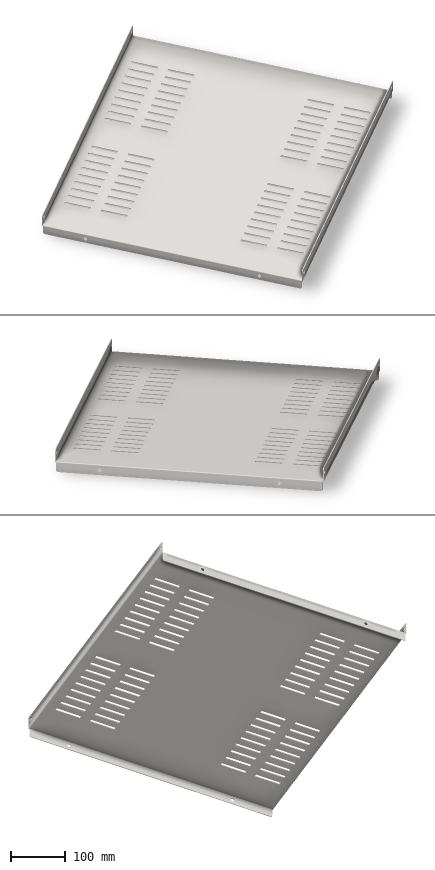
import cadquery as cq
WIDTH = 499.0
DEPTH = 544.0
SHEET = 1.5
BEND_INNER = 0.1
BEND_OUTER = BEND_INNER + SHEET
LIP_DROP = 20.0
WALL_RISE = 25.0
CORNER_RADIUS = 3.5

FLOOR_TOP = LIP_DROP
FLOOR_BOTTOM = FLOOR_TOP - SHEET
WALL_TOP = FLOOR_TOP + WALL_RISE

LIP_SETBACK = 2.0
LIP_LENGTH = WIDTH - 2 * LIP_SETBACK

LIP_HOLE_DIAMETER = 7.0
LIP_HOLE_SPACING = 333.0
LIP_HOLE_HEIGHT = 9.5

WALL_HOLE_DIAMETER = 6.5
WALL_SLOT_LENGTH = 9.0
WALL_HOLE_INSET = 9.0
WALL_HOLE_DROP = 10.0

VENT_LENGTH = 50.0
VENT_WIDTH = 5.0
VENT_ROWS = 9
VENT_PITCH = 20.125
VENT_COLUMNS_X = (133.5, 203.5)
VENT_GROUP_Y = 120.4


def both_sides(distance):
    """Mirrored pair of positions about the middle of the shelf."""
    return (-distance, distance)


def make_floor():
    """Flat floor between the bends."""
    size_x = WIDTH - 2 * BEND_OUTER
    size_y = DEPTH - 2 * BEND_OUTER
    floor = cq.Workplane("XY").box(size_x, size_y, SHEET, centered=(True, True, False))
    return floor.translate((0, 0, FLOOR_BOTTOM))


def make_bent_flange(height, length):
    """Flange along Y rising from Z = 0; its bend starts at X = 0 and curves toward +X."""
    flange = (
        cq.Workplane("XZ")
        .moveTo(0, 0)
        .radiusArc((BEND_OUTER, BEND_OUTER), -BEND_OUTER)
        .lineTo(BEND_OUTER, height)
        .lineTo(BEND_INNER, height)
        .lineTo(BEND_INNER, BEND_OUTER)
        .radiusArc((0, SHEET), BEND_INNER)
        .close()
        .extrude(length / 2, both=True)
    )
    return flange.edges("|X and >Z").fillet(CORNER_RADIUS)


def add_walls(body):
    """Upright walls on the X sides, with rounded upper corners."""
    flange = make_bent_flange(WALL_TOP - FLOOR_BOTTOM, DEPTH)
    wall = flange.translate((WIDTH / 2 - BEND_OUTER, 0, FLOOR_BOTTOM))
    return body.union(wall).union(wall.mirror("YZ"))


def add_lips(body):
    """Hanging lips on the Y sides, with rounded lower corners."""
    flange = make_bent_flange(LIP_DROP, LIP_LENGTH).mirror("XY").rotate((0, 0, 0), (0, 0, 1), 90)
    lip = flange.translate((0, DEPTH / 2 - BEND_OUTER, FLOOR_TOP))
    return body.union(lip).union(lip.mirror("XZ"))


def cut_lip_holes(body):
    """Round holes straight through both lips."""
    holes = (
        cq.Workplane("XZ")
        .pushPoints([(x, LIP_HOLE_HEIGHT) for x in both_sides(LIP_HOLE_SPACING / 2)])
        .circle(LIP_HOLE_DIAMETER / 2)
        .extrude(DEPTH, both=True)
    )
    return body.cut(holes)


def cut_wall_holes(body):
    """Front round hole and rear obround hole, each straight through both walls."""
    front_y, rear_y = both_sides(DEPTH / 2 - WALL_HOLE_INSET)
    hole_z = WALL_TOP - WALL_HOLE_DROP
    hole = cq.Workplane("YZ").center(front_y, hole_z).circle(WALL_HOLE_DIAMETER / 2)
    slot = cq.Workplane("YZ").center(rear_y, hole_z).slot2D(WALL_SLOT_LENGTH, WALL_HOLE_DIAMETER)
    for opening in (hole, slot):
        body = body.cut(opening.extrude(WIDTH, both=True))
    return body


def cut_vents(body):
    """Rectangular ventilation slots through the floor."""
    columns = [x for column in VENT_COLUMNS_X for x in both_sides(column)]
    row_offsets = [(row - (VENT_ROWS - 1) / 2) * VENT_PITCH for row in range(VENT_ROWS)]
    rows = [group + offset for group in both_sides(VENT_GROUP_Y) for offset in row_offsets]
    vents = (
        cq.Workplane("XY")
        .pushPoints([(x, y) for x in columns for y in rows])
        .rect(VENT_LENGTH, VENT_WIDTH)
        .extrude(FLOOR_TOP)
    )
    return body.cut(vents)


result = make_floor()
result = add_walls(result)
result = add_lips(result)
result = cut_lip_holes(result)
result = cut_wall_holes(result)
result = cut_vents(result)